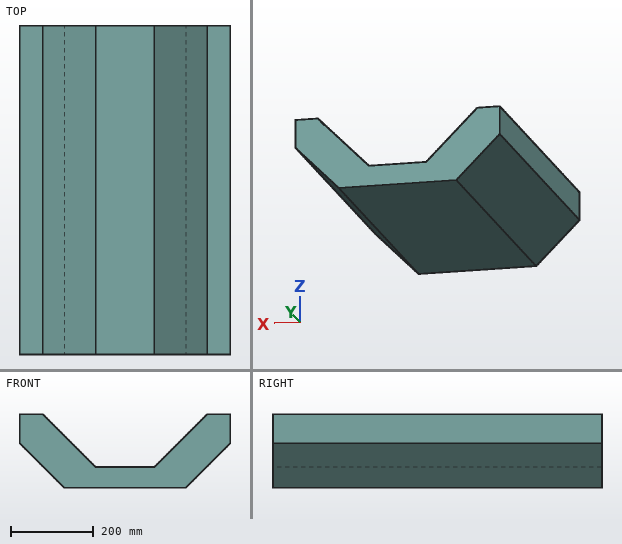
import cadquery as cq
import math

width = 508.0
length = 793.75
height = 177.8

floor_thickness = 50.8
wall_thickness = 88.9

bevel = 107.95

half_width = width / 2
base_half = half_width - bevel

wall_offset = wall_thickness * math.sqrt(2)
channel_floor_half = base_half + floor_thickness - wall_offset
channel_top_half = base_half + height - wall_offset


def trough_section():
    """Symmetric cross-section in the XZ plane, resting on Z = 0."""
    right_half = [
        (base_half, 0),
        (half_width, bevel),
        (half_width, height),
        (channel_top_half, height),
        (channel_floor_half, floor_thickness),
    ]
    left_half = [(-x, z) for x, z in reversed(right_half)]
    return cq.Workplane("XZ").polyline(right_half + left_half).close()


result = trough_section().extrude(length / 2, both=True)